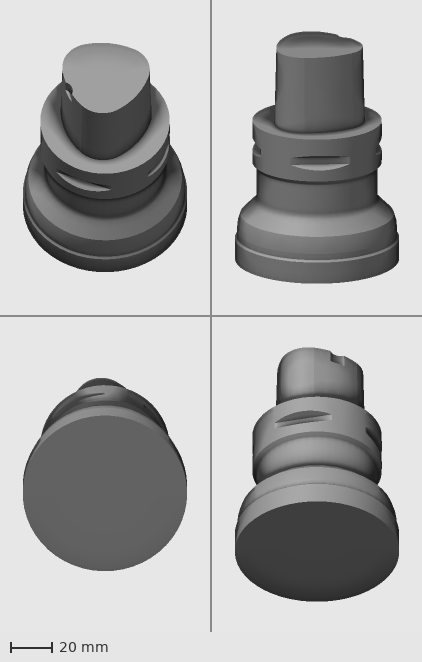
import cadquery as cq
import math

TOTAL_HEIGHT = 109.0
RING_SHOULDER_HEIGHT = 11.8
RING_HEIGHT = 13.8
CROWN_START = 14.8
CONE_START = 23.1
COLLAR_BOTTOM = 49.5
COLLAR_TOP = 70.8

RING_RADIUS = 80.0 / 2
BODY_RADIUS = 78.0 / 2
CONE_RADIUS = 37.4
NECK_RADIUS = 59.0 / 2
COLLAR_RADIUS = 63.0 / 2
NECK_FILLET = 3.8
COLLAR_FILLET = 1.3

SLOT_COUNT = 4
SLOT_FIRST_ANGLE = 45.0
SLOT_HEIGHT = 58.9
SLOT_FLOOR_DISTANCE = 28.0
SLOT_FLOOR_HALF_WIDTH = 1.7
SLOT_WALL_ANGLE = 30.0
SLOT_OVERCUT = 2.2

LOBE_COUNT = 3
LOBE_TIP_DISTANCE = 23.4
LOBE_CENTER_DISTANCE = 8.7
SIDE_DISTANCE = 20.4
SHANK_TAPER = math.degrees(math.atan(1 / 40))

NOTCH_RADIUS = 5.2
NOTCH_INNER_DISTANCE = 17.5
NOTCH_DEPTH = 6.4


def polar(distance, degrees):
    angle = math.radians(degrees)
    return (distance * math.cos(angle), distance * math.sin(angle))


def make_ring():
    """Base ring: a stepped disc with a 45-degree shoulder."""
    shoulder_width = RING_RADIUS - BODY_RADIUS
    return (
        cq.Workplane("XZ")
        .lineTo(RING_RADIUS, 0)
        .lineTo(RING_RADIUS, RING_SHOULDER_HEIGHT - shoulder_width)
        .lineTo(BODY_RADIUS, RING_SHOULDER_HEIGHT)
        .lineTo(BODY_RADIUS, RING_HEIGHT)
        .lineTo(0, RING_HEIGHT)
        .close()
        .revolve(360, (0, 0), (0, 1))
    )


def neck_fillet_points(corner_height, radius, direction):
    """Start, middle and end of the arc from the neck wall to a 45-degree face.

    The arc center lies above the corner for direction 1 and below it for -1.
    """
    turn = 45.0
    center_x = NECK_RADIUS + radius
    center_z = corner_height + direction * radius * math.tan(math.radians(turn / 2))
    points = []
    for angle in (0, turn / 2, turn):
        inward, along = polar(radius, angle)
        points.append((center_x - inward, center_z - direction * along))
    return points


def make_turned_body():
    """Crown, cone, neck and collar in one revolved outline."""
    crown_rise = CONE_START - CROWN_START
    crown_inset = BODY_RADIUS - CONE_RADIUS
    crown_radius = (crown_rise**2 + crown_inset**2) / (2 * crown_inset)
    crown_mid_angle = math.degrees(math.asin(crown_rise / crown_radius)) / 2
    mid_x, mid_z = polar(crown_radius, crown_mid_angle)
    crown_mid = (BODY_RADIUS - crown_radius + mid_x, CROWN_START + mid_z)

    neck_foot = CONE_START + CONE_RADIUS - NECK_RADIUS
    neck_head = COLLAR_BOTTOM - (COLLAR_RADIUS - NECK_RADIUS)
    foot_fillet = neck_fillet_points(neck_foot, NECK_FILLET, 1)
    head_fillet = neck_fillet_points(neck_head, COLLAR_FILLET, -1)

    return (
        cq.Workplane("XZ")
        .moveTo(0, RING_HEIGHT)
        .lineTo(BODY_RADIUS, RING_HEIGHT)
        .lineTo(BODY_RADIUS, CROWN_START)
        .threePointArc(crown_mid, (CONE_RADIUS, CONE_START))
        .lineTo(*foot_fillet[2])
        .threePointArc(foot_fillet[1], foot_fillet[0])
        .lineTo(*head_fillet[0])
        .threePointArc(head_fillet[1], head_fillet[2])
        .lineTo(COLLAR_RADIUS, COLLAR_BOTTOM)
        .lineTo(COLLAR_RADIUS, COLLAR_TOP)
        .lineTo(0, COLLAR_TOP)
        .close()
        .revolve(360, (0, 0), (0, 1))
    )


def make_slot_cutter(angle):
    """Trapezoidal bar that cuts one gripper slot across the collar."""
    reach = COLLAR_RADIUS + SLOT_OVERCUT
    flare = (reach - SLOT_FLOOR_DISTANCE) * math.tan(math.radians(SLOT_WALL_ANGLE))
    mouth_half_width = SLOT_FLOOR_HALF_WIDTH + flare
    return (
        cq.Workplane("XZ")
        .moveTo(SLOT_FLOOR_DISTANCE, SLOT_HEIGHT - SLOT_FLOOR_HALF_WIDTH)
        .lineTo(reach, SLOT_HEIGHT - mouth_half_width)
        .lineTo(reach, SLOT_HEIGHT + mouth_half_width)
        .lineTo(SLOT_FLOOR_DISTANCE, SLOT_HEIGHT + SLOT_FLOOR_HALF_WIDTH)
        .close()
        .extrude(COLLAR_RADIUS, both=True)
        .rotate((0, 0, 0), (0, 0, 1), angle)
    )


def make_shank():
    """Tapered shank whose outline is three lobe arcs joined by three tangent side arcs."""
    lobe_radius = LOBE_TIP_DISTANCE - LOBE_CENTER_DISTANCE
    half_pitch = 180 / LOBE_COUNT
    along, across = polar(LOBE_CENTER_DISTANCE, half_pitch)

    gap = SIDE_DISTANCE - lobe_radius
    side_center = (across**2 + along**2 - gap**2) / (2 * (gap - along))
    normal_angle = math.degrees(math.atan2(across, side_center + along))
    side_radius = SIDE_DISTANCE + side_center
    joint_along, joint_across = polar(side_radius, normal_angle)
    joint_along -= side_center
    joint_distance = math.hypot(joint_along, joint_across)
    joint_angle = math.degrees(math.atan2(joint_across, joint_along))

    first_side = -90
    outline = cq.Workplane("XY", origin=(0, 0, COLLAR_TOP))
    outline = outline.moveTo(*polar(joint_distance, first_side - joint_angle))
    for index in range(LOBE_COUNT):
        side = first_side + 2 * half_pitch * index
        lobe = side + half_pitch
        next_side = lobe + half_pitch
        outline = outline.threePointArc(
            polar(SIDE_DISTANCE, side), polar(joint_distance, side + joint_angle))
        outline = outline.threePointArc(
            polar(LOBE_TIP_DISTANCE, lobe), polar(joint_distance, next_side - joint_angle))
    return outline.close().extrude(TOTAL_HEIGHT - COLLAR_TOP, taper=SHANK_TAPER)


def make_notch_cutter():
    center_y = -(NOTCH_INNER_DISTANCE + NOTCH_RADIUS)
    return (
        cq.Workplane("XY", origin=(0, center_y, TOTAL_HEIGHT - NOTCH_DEPTH))
        .circle(NOTCH_RADIUS)
        .extrude(NOTCH_DEPTH)
    )


def make_holder():
    """Turned body with its gripper slots and notched shank."""
    holder = make_turned_body().union(make_shank())
    for index in range(SLOT_COUNT):
        holder = holder.cut(make_slot_cutter(SLOT_FIRST_ANGLE + index * 360 / SLOT_COUNT))
    return holder.cut(make_notch_cutter())


ring = make_ring()
holder = make_holder()
result = cq.Compound.makeCompound([ring.val(), holder.val()])